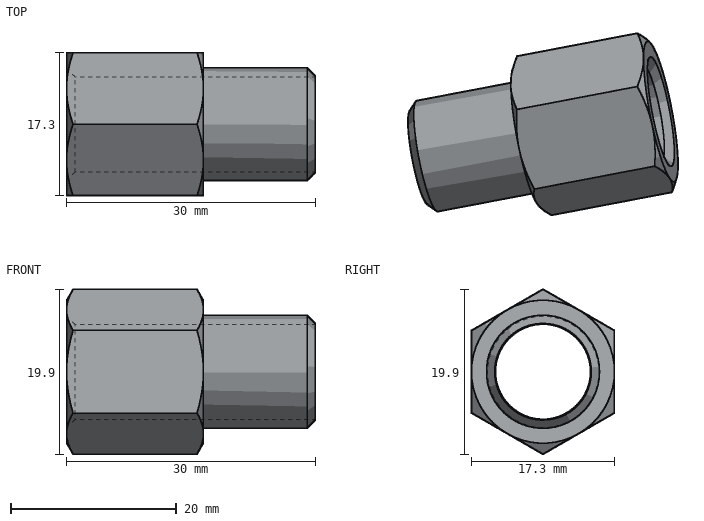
import cadquery as cq
import math

total_length = 30.0
hex_length = 16.5
across_flats = 17.25
spigot_diameter = 13.65
bore_diameter = 11.45
edge_chamfer = 1.0
hex_chamfer_angle = 30.0

across_corners = across_flats / math.cos(math.radians(30))
corner_radius = across_corners / 2
face_radius = across_flats / 2
corner_chamfer = (corner_radius - face_radius) * math.tan(math.radians(hex_chamfer_angle))


def make_hexagon():
    """Hexagon with corners at +Z and -Z, chamfered conically at both ends."""
    prism = (
        cq.Workplane("YZ")
        .polygon(6, across_corners)
        .extrude(hex_length)
        .rotate((0, 0, 0), (1, 0, 0), 90)
    )
    chamfer_envelope = (
        cq.Workplane("XY")
        .moveTo(0, 0)
        .lineTo(0, face_radius)
        .lineTo(corner_chamfer, corner_radius)
        .lineTo(hex_length - corner_chamfer, corner_radius)
        .lineTo(hex_length, face_radius)
        .lineTo(hex_length, 0)
        .close()
        .revolve(360, (0, 0, 0), (1, 0, 0))
    )
    return prism.intersect(chamfer_envelope)


def make_spigot():
    """Round spigot with a chamfered free end."""
    return (
        cq.Workplane("YZ", origin=(hex_length, 0, 0))
        .circle(spigot_diameter / 2)
        .extrude(total_length - hex_length)
        .faces(">X")
        .chamfer(edge_chamfer)
    )


def make_bore():
    """Through bore with a countersunk mouth at the hexagon end."""
    bore_radius = bore_diameter / 2
    return (
        cq.Workplane("XY")
        .moveTo(0, 0)
        .lineTo(0, bore_radius + edge_chamfer)
        .lineTo(edge_chamfer, bore_radius)
        .lineTo(total_length, bore_radius)
        .lineTo(total_length, 0)
        .close()
        .revolve(360, (0, 0, 0), (1, 0, 0))
    )


result = make_hexagon().union(make_spigot()).cut(make_bore())